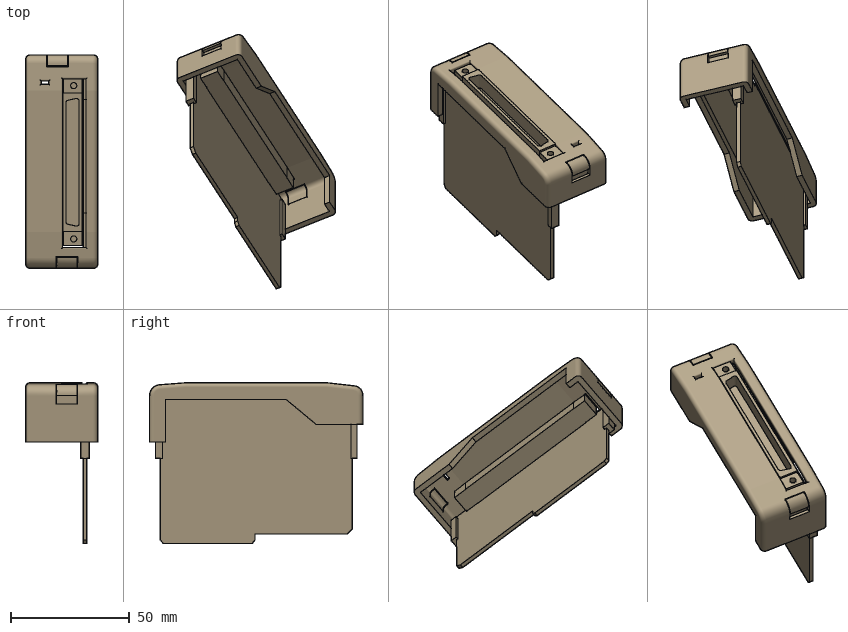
import cadquery as cq

TOP_Z = 67.9
LENGTH = 90.0
WIDTH = 30.5

WALL = 2.4
FLAT_HALF = 29.8
BACK_DROP = 1.7
FRONT_DROP = 1.2
BACK_RADIUS = 4.05
FRONT_RADIUS = 4.7
SIDE_FILLET = 2.0
FRONT_BOTTOM_Z = 42.75
BACK_BOTTOM_Z = 50.3
SIDE_OPENING_Z = 60.75
SIDE_OPENING_FRONT_Y = -38.2
SIDE_OPENING_BACK_Y = 12.6
SLOPE_FOOT_Y = 25.2

EDGE_ROUND = 0.5
APERTURE_X = (-0.2, 10.8)
APERTURE_Y = (-36.7, 35.4)
WINDOW_X = (-9.2, -4.95)
WINDOW_Y = (32.1, 34.5)

BOARD_X = (9.0, 10.6)
BOARD_HALF = 40.5
BOARD_TOP_Z = 62.1
BOARD_TAB_RISE = 1.35
BOARD_TAB_Y = (-21.6, 26.3)
BOARD_STEP_Y = -0.45
BOARD_STEP_Z = 4.05
BACK_CHAMFER = 2.1
TONGUE_CHAMFER_Y = 1.3
TONGUE_CHAMFER_Z = 1.6

GUIDE_X = (7.9, 11.6)
GUIDE_Z = (35.9, 59.4)
FRONT_GUIDE_DEPTH = 3.15
BACK_GUIDE_DEPTH = 2.7

CONNECTOR_X = (0.45, 8.6)
CONNECTOR_MID_Y = -0.3
CONNECTOR_HALF = 35.1
CONNECTOR_BODY_HALF = 29.25
CONNECTOR_BOTTOM_Z = 58.5
EAR_DROP = 0.9
EAR_INSET = 0.1
SOCKET_X = (1.7, 7.3)
SOCKET_SHORT_HALF = 25.9
SOCKET_LONG_HALF = 27.2
SOCKET_DEPTH = 7.2
SOCKET_ROUND = 1.1
SCREW_X = 5.0
SCREW_HALF_SPACING = 32.3
SCREW_DIAMETER = 2.6
SCREW_DEPTH = 3.6

LATCH_OPENING_WIDTH = 9.1
LATCH_OPENING_Y = 40.05
LATCH_OPENING_Z = 58.8
LATCH_GAP = 0.3
FRONT_LATCH_X = 2.2
BACK_LATCH_X = -1.8
GRIP_TOP_Z = 62.4
GRIP_DEPTH = 1.3

HALF_LENGTH = LENGTH / 2
HALF_WIDTH = WIDTH / 2


def box(x_range, y_range, z_range):
    """Block given by its limits along the three axes."""
    sizes = [high - low for low, high in (x_range, y_range, z_range)]
    corner = (x_range[0], y_range[0], z_range[0])
    return cq.Workplane("XY").box(*sizes, centered=False).translate(corner)


def prism(points, x_range):
    """Outline of (Y, Z) points extruded between two X positions."""
    flat = cq.Workplane("YZ", origin=(x_range[0], 0, 0)).polyline(points).close()
    return flat.extrude(x_range[1] - x_range[0])


def rounded_hood(inset):
    """Long hood with sloping top ends, moved inwards by `inset` on every face but the bottom."""
    end = HALF_LENGTH - inset
    outline = [
        (-end, FRONT_BOTTOM_Z),
        (-end, TOP_Z - FRONT_DROP - inset),
        (-FLAT_HALF, TOP_Z - inset),
        (FLAT_HALF, TOP_Z - inset),
        (end, TOP_Z - BACK_DROP - inset),
        (end, FRONT_BOTTOM_Z),
    ]
    half = HALF_WIDTH - inset
    hood = prism(outline, (-half, half))
    hood = hood.faces("<Y").edges(">Z").fillet(FRONT_RADIUS - inset)
    return hood.faces(">Y").edges(">Z").fillet(BACK_RADIUS - inset)


def make_shell():
    """Hollow hood, open at the bottom, with all its outer edges rounded."""
    outer = rounded_hood(0)
    outer = outer.faces("<X or >X").edges("not <Z").fillet(SIDE_FILLET)
    return outer.cut(rounded_hood(WALL))


def side_opening():
    """Cutter that shortens the back end and opens both side walls."""
    outline = [
        (SIDE_OPENING_FRONT_Y, FRONT_BOTTOM_Z),
        (SIDE_OPENING_FRONT_Y, SIDE_OPENING_Z),
        (SIDE_OPENING_BACK_Y, SIDE_OPENING_Z),
        (SLOPE_FOOT_Y, BACK_BOTTOM_Z),
        (HALF_LENGTH, BACK_BOTTOM_Z),
        (HALF_LENGTH, FRONT_BOTTOM_Z),
    ]
    return prism(outline, (-HALF_WIDTH, HALF_WIDTH))


def rounded_opening(body, x_range, y_range):
    """Cut a rectangular opening through the top; the ranges hold its outward-rounded rim."""
    x_hole = (x_range[0] + EDGE_ROUND, x_range[1] - EDGE_ROUND)
    y_hole = (y_range[0] + EDGE_ROUND, y_range[1] - EDGE_ROUND)
    body = body.cut(box(x_hole, y_hole, (SIDE_OPENING_Z, TOP_Z)))
    rim_low = (x_range[0], y_range[0], TOP_Z - WALL / 2)
    rim_high = (x_range[1], y_range[1], TOP_Z + WALL / 2)
    rim = body.edges(cq.selectors.BoxSelector(rim_low, rim_high, boundingbox=True)).edges("not |Z")
    return rim.fillet(EDGE_ROUND)


def latch_space(mid_x, end, gap):
    """Room for a latch at the front (end = -1) or back (end = 1), narrowed by `gap`."""
    half = LATCH_OPENING_WIDTH / 2 - gap
    y_range = sorted((end * (LATCH_OPENING_Y + gap), end * HALF_LENGTH))
    return box((mid_x - half, mid_x + half), y_range, (LATCH_OPENING_Z, TOP_Z))


def make_latch(shell, mid_x, end):
    """Piece of the shell that fills a latch opening, with a finger grip set back below its round."""
    half = LATCH_OPENING_WIDTH / 2
    y_range = sorted((end * (HALF_LENGTH - GRIP_DEPTH), end * HALF_LENGTH))
    grip = box((mid_x - half, mid_x + half), y_range, (LATCH_OPENING_Z, GRIP_TOP_Z))
    return shell.intersect(latch_space(mid_x, end, LATCH_GAP)).cut(grip)


def make_board():
    """Flat board with a tongue at its lower front and a raised tab along its top."""
    tab_z = BOARD_TOP_Z + BOARD_TAB_RISE
    outline = [
        (-BOARD_HALF, TONGUE_CHAMFER_Z),
        (-BOARD_HALF, BOARD_TOP_Z),
        (BOARD_TAB_Y[0], BOARD_TOP_Z),
        (BOARD_TAB_Y[0], tab_z),
        (BOARD_TAB_Y[1], tab_z),
        (BOARD_TAB_Y[1], BOARD_TOP_Z),
        (BOARD_HALF, BOARD_TOP_Z),
        (BOARD_HALF, BOARD_STEP_Z + BACK_CHAMFER),
        (BOARD_HALF - BACK_CHAMFER, BOARD_STEP_Z),
        (BOARD_STEP_Y, BOARD_STEP_Z),
        (BOARD_STEP_Y, TONGUE_CHAMFER_Z),
        (BOARD_STEP_Y - TONGUE_CHAMFER_Y, 0),
        (-BOARD_HALF + TONGUE_CHAMFER_Y, 0),
    ]
    return prism(outline, BOARD_X)


def make_housing(shell, board):
    """Shell with its openings and the two slotted guides that hold the board."""
    body = rounded_opening(shell, APERTURE_X, APERTURE_Y)
    body = rounded_opening(body, WINDOW_X, WINDOW_Y)
    body = body.cut(side_opening())
    body = body.cut(latch_space(FRONT_LATCH_X, -1, 0))
    body = body.cut(latch_space(BACK_LATCH_X, 1, 0))
    inner_end = HALF_LENGTH - WALL
    front_guide_y = (-inner_end, -inner_end + FRONT_GUIDE_DEPTH)
    back_guide_y = (inner_end - BACK_GUIDE_DEPTH, inner_end)
    for guide_y in (front_guide_y, back_guide_y):
        body = body.union(box(GUIDE_X, guide_y, GUIDE_Z))
    return body.cut(board)


def make_connector():
    """Long block with lower screw ears and a D-shaped socket."""
    body_y = (CONNECTOR_MID_Y - CONNECTOR_BODY_HALF, CONNECTOR_MID_Y + CONNECTOR_BODY_HALF)
    full_y = (CONNECTOR_MID_Y - CONNECTOR_HALF, CONNECTOR_MID_Y + CONNECTOR_HALF)
    ear_x = (CONNECTOR_X[0] + EAR_INSET, CONNECTOR_X[1] - EAR_INSET)
    ear_top = TOP_Z - EAR_DROP
    body = box(CONNECTOR_X, body_y, (CONNECTOR_BOTTOM_Z, TOP_Z))
    body = body.union(box(ear_x, full_y, (CONNECTOR_BOTTOM_Z, ear_top)))

    socket = (
        cq.Workplane("XY", origin=(0, CONNECTOR_MID_Y, TOP_Z))
        .polyline([
            (SOCKET_X[0], -SOCKET_SHORT_HALF),
            (SOCKET_X[1], -SOCKET_LONG_HALF),
            (SOCKET_X[1], SOCKET_LONG_HALF),
            (SOCKET_X[0], SOCKET_SHORT_HALF),
        ])
        .close()
        .extrude(-SOCKET_DEPTH)
        .edges("|Z")
        .fillet(SOCKET_ROUND)
    )
    screw_holes = (
        cq.Workplane("XY", origin=(SCREW_X, CONNECTOR_MID_Y, ear_top))
        .pushPoints([(0, -SCREW_HALF_SPACING), (0, SCREW_HALF_SPACING)])
        .circle(SCREW_DIAMETER / 2)
        .extrude(-SCREW_DEPTH)
    )
    return body.cut(socket).cut(screw_holes)


shell = make_shell()
board = make_board()
housing = make_housing(shell, board)
connector = make_connector()
latches = [
    make_latch(shell, mid_x, end)
    for mid_x, end in ((FRONT_LATCH_X, -1), (BACK_LATCH_X, 1))
]

result = cq.Compound.makeCompound(
    [housing.val(), connector.val(), board.val(), *[latch.val() for latch in latches]]
)